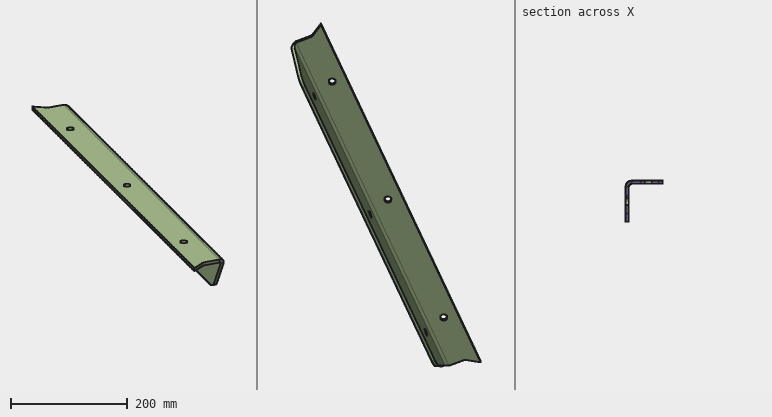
import cadquery as cq
import math

overall_length = 707.08
flange_depth = 63.72
leg_height = 70.85

thickness = 6.0
inner_bend_radius = 5.0
outer_bend_radius = thickness + inner_bend_radius

half_length = overall_length / 2
flange_flare = 15.0
flare_depth = 23.0
flange_corner_radius = 10.0
half_bend_length = half_length - flange_flare

leg_slope = math.tan(math.radians(30.0))
leg_corner_radius = 20.0
neutral_bend_radius = 6.5
bend_end_shift = neutral_bend_radius * math.pi / 2 * leg_slope
half_leg_top = half_bend_length - bend_end_shift
half_leg_bottom = half_leg_top - (leg_height - outer_bend_radius) * leg_slope

margin = 1.0

hole_diameter = 12.0
hole_pitch = 247.0
hole_row_shift = 2.0
flange_hole_offset = 39.0
leg_hole_offset = 36.0
hole_positions = [hole_row_shift + step * hole_pitch for step in (-1, 0, 1)]


def make_bent_sheet():
    """L-shaped section with a rounded bend, extruded along X; outer corner at Y = Z = 0."""
    section = (
        cq.Workplane("YZ")
        .moveTo(-flange_depth, 0)
        .lineTo(-outer_bend_radius, 0)
        .radiusArc((0, -outer_bend_radius), outer_bend_radius)
        .lineTo(0, -leg_height)
        .lineTo(-thickness, -leg_height)
        .lineTo(-thickness, -outer_bend_radius)
        .radiusArc((-outer_bend_radius, -thickness), -inner_bend_radius)
        .lineTo(-flange_depth, -thickness)
        .close()
    )
    return section.extrude(half_length, both=True)


def make_flange_outline():
    """Plan outline: straight ends near the bend, flaring out to the free edge."""
    flare_start = -flange_depth + flare_depth
    points = [
        (-half_bend_length, 0),
        (half_bend_length, 0),
        (half_bend_length, flare_start),
        (half_length, -flange_depth),
        (-half_length, -flange_depth),
        (-half_bend_length, flare_start),
    ]
    prism = cq.Workplane("XY").polyline(points).close().extrude(-leg_height)
    flare_corners = cq.selectors.BoxSelector(
        (-half_length, flare_start - margin, -leg_height),
        (half_length, flare_start + margin, 0),
    )
    return prism.edges("|Z").edges(flare_corners).fillet(flange_corner_radius)


def make_leg_outline():
    """Front outline: full length above the bend line, then tapering to the lower edge."""
    taper = (
        cq.Workplane("XZ")
        .polyline([
            (-half_leg_top, -outer_bend_radius),
            (half_leg_top, -outer_bend_radius),
            (half_leg_bottom, -leg_height),
            (-half_leg_bottom, -leg_height),
        ])
        .close()
        .extrude(flange_depth)
        .edges("|Y and <Z")
        .fillet(leg_corner_radius)
    )
    flange_zone = cq.Workplane("XY").box(
        overall_length, flange_depth, outer_bend_radius, centered=(True, False, False)
    ).translate((0, -flange_depth, -outer_bend_radius))
    return taper.union(flange_zone)


def make_bend_end_cutter():
    """Quarter disc twisted about the bend axis; its leading face slants the +X end of the bend."""
    sector_radius = outer_bend_radius + margin
    return (
        cq.Workplane("YZ")
        .lineTo(sector_radius, 0)
        .radiusArc((0, -sector_radius), sector_radius)
        .close()
        .twistExtrude(bend_end_shift, 90)
        .translate((half_leg_top, -outer_bend_radius, -outer_bend_radius))
    )


def make_hole_row(plane, offset, depth):
    """Row of three drills through a plate, at the given distance from the outer bend corner."""
    return (
        cq.Workplane(plane)
        .pushPoints([(x, -offset) for x in hole_positions])
        .circle(hole_diameter / 2)
        .extrude(depth)
    )


bend_end_cutter = make_bend_end_cutter()
result = (
    make_bent_sheet()
    .intersect(make_flange_outline())
    .intersect(make_leg_outline())
    .cut(bend_end_cutter)
    .cut(bend_end_cutter.mirror("YZ"))
    .cut(make_hole_row("XY", flange_hole_offset, -thickness))
    .cut(make_hole_row("XZ", leg_hole_offset, thickness))
)